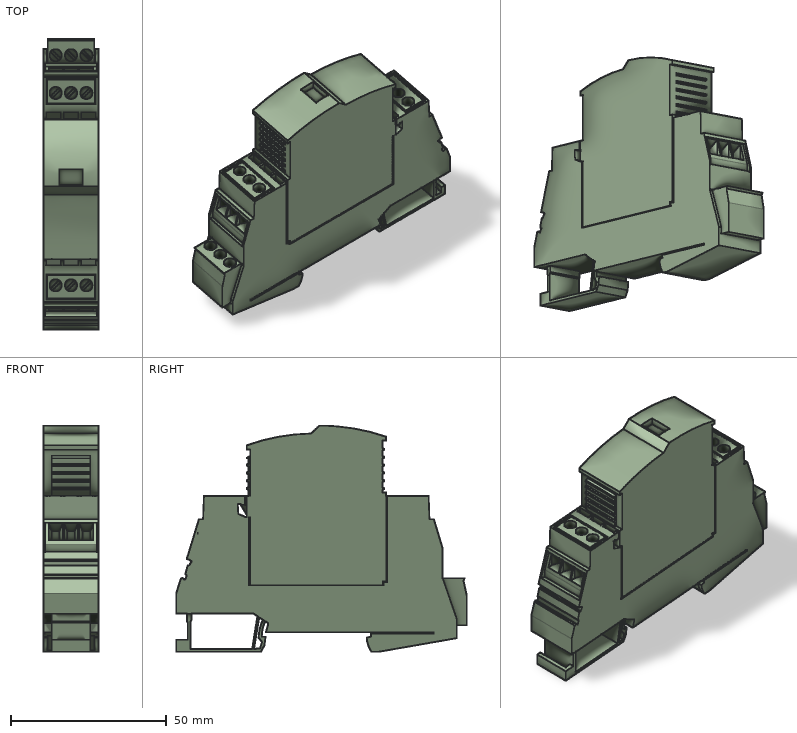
import cadquery as cq

WIDTH = 17.7
CLIP_WIDTH = 12.5
RECESS_WIDTH = 16.6
PITCH = 4.95
POLES = (-PITCH, 0.0, PITCH)
TERMINAL_CENTRE_Y = 45.1

HOUSING_TOP_Z = 50.1
HOUSING_BASE_Z = 6.3
HOUSING_REAR_Y = 85.6
CLIP_ROOF_Z = 12.3

FACE_LOW_Z = 18.9
FACE_TOP_Y = 7.3
FACE_TOP_Z = 42.7
FACE_SLOPE = FACE_TOP_Y / (FACE_TOP_Z - FACE_LOW_Z)

CARTRIDGE_FRONT_Y = 22.6
CARTRIDGE_REAR_Y = 67.4
SIDE_INSET = 1.1
GRIP_FRONT_Y = CARTRIDGE_FRONT_Y + SIDE_INSET
GRIP_REAR_Y = CARTRIDGE_REAR_Y - SIDE_INSET
CARTRIDGE_BASE_Z = 21.4
SHOULDER_Z = 22.7
GRIP_LEDGE_REAR_Z = 51.3
FRONT_EAVE_Z = 65.0
REAR_EAVE_Z = 67.9
STEP_LOW = (43.3, 70.2)
STEP_HIGH = (46.0, 72.7)

RIB_PITCH = 2.5
FRONT_RIBS = 4
REAR_RIBS = 6
RIB_LOWEST_Z = 52.5
RIB_BASE_HEIGHT = 0.8
RIB_TIP_HEIGHT = 0.3
RIB_REACH = 0.6
GRIP_PLATE = 0.6
TOP_RIB_PEAK_Z = 63.0

SEAM_DEPTH = 0.4
SEAM_WIDTH = 0.4
THIN_SEAM = 0.1
FOOT_SEAM_REAR_Y = 82.7
FOOT_NOSE_Y = 62.55

FOOT_POCKET_WIDTH = 14.9
FOOT_POCKET_Y = (60.7, 64.9)
FOOT_POCKET_Z = (0.6, 5.2)

TERMINAL_Y = 14.2
SCREW_RADIUS = 2.0
SCREW_DEPTH = 3.7
SLOT_WIDTH = 0.8
SLOT_DEPTH = 0.5
SLOT_ANGLE = 45
BLOCK_CENTRE_Y = 13.7
BLOCK_LENGTH_X = 16.1
BLOCK_LENGTH_Y = 8.2
RECESS_LOW_Z = 32.1
RECESS_TOP_Z = 41.45
RECESS_DEPTH = 1.0
PLUG_STEP_Z = 34.5
ENTRY_LOW_Z = 35.85
ENTRY_TOP_Z = 41.3
ENTRY_WIDTH = 4.5
ENTRY_NECK_WIDTH = 2.4
ENTRY_NECK_TOP_Z = 38.7
ENTRY_DEPTH = 2.3

LATCH_TOP_Z = 47.2
LATCH_REACH_Y = 20.7
LATCH_GAP_Y = 22.1
LATCH_FLOOR_Z = 43.2
OPENING_PITCH = 5.6
OPENING_WIDTH = 4.8
REAR_OPENING_LENGTH = 2.1
REAR_OPENING_DEPTH = 3.0

CONNECTOR_WIDTH = 15.0
CONNECTOR_POCKET_WIDTH = 15.7
CONNECTOR_INNER_Y = 85.1
CONNECTOR_REAR_Y = 93.4
CONNECTOR_BASE_Z = 8.5
CONNECTOR_TOP_Z = 23.7
CONNECTOR_SCREW_Y = 88.1

WINDOW_WIDTH = 7.7
WINDOW_Y = (46.4, 51.5)
WINDOW_FLOOR_Z = 70.1


def prism(points, width):
    """Closed Y-Z polygon extruded along X, centred on X = 0."""
    return cq.Workplane("YZ").polyline(points).close().extrude(width / 2, both=True)


def block(x_range, y_range, z_range):
    """Box between the given limits."""
    size = [high - low for low, high in (x_range, y_range, z_range)]
    corner = (x_range[0], y_range[0], z_range[0])
    return cq.Workplane("XY").box(*size, centered=False).translate(corner)


def centred_block(width, y_range, z_range):
    return block((-width / 2, width / 2), y_range, z_range)


def rear_copy(shape):
    """Mirror a front terminal feature to the rear end."""
    return shape.mirror("XZ", (0, TERMINAL_CENTRE_Y, 0))


def face_y(z):
    """Y of the sloped front face at height z."""
    return (z - FACE_LOW_Z) * FACE_SLOPE


def housing():
    front_edge = [
        (24.7, CLIP_ROOF_Z), (0, CLIP_ROOF_Z), (0, FACE_LOW_Z), (face_y(23.5), 23.5),
        (2.0, 23.8), (2.8, 23.15), (3.4, 24.6), (2.9, 24.9),
        (3.6, 27.7), (4.2, 27.9), (4.95, 29.1), (3.9, 29.7), (face_y(29.8), 29.8),
        (FACE_TOP_Y, FACE_TOP_Z), (8.6, FACE_TOP_Z), (8.9, HOUSING_TOP_Z),
    ]
    rear_edge = [
        (81.1, HOUSING_TOP_Z), (81.4, FACE_TOP_Z), (82.8, FACE_TOP_Z), (HOUSING_REAR_Y, 33.3),
        (HOUSING_REAR_Y, CONNECTOR_TOP_Z), (90.2, 10.5), (90.2, 4.4),
    ]
    profile = cq.Workplane("YZ").polyline(front_edge + rear_edge + [(65.1, 0), (62.7, 0)])
    profile = profile.threePointArc((61.6, 2.2), (61.15, 4.6)).lineTo(FOOT_NOSE_Y, 4.95)
    profile = profile.lineTo(FOOT_NOSE_Y, HOUSING_BASE_Z).lineTo(28.8, HOUSING_BASE_Z)
    profile = profile.lineTo(29.6, 9.15).close()
    return profile.extrude(WIDTH / 2, both=True)


def cartridge():
    """Upper part of the cartridge, reaching down into the housing."""
    profile = (
        cq.Workplane("YZ")
        .moveTo(CARTRIDGE_FRONT_Y, SHOULDER_Z)
        .lineTo(CARTRIDGE_FRONT_Y, HOUSING_TOP_Z)
        .lineTo(GRIP_FRONT_Y, HOUSING_TOP_Z)
        .lineTo(GRIP_FRONT_Y, FRONT_EAVE_Z)
        .lineTo(CARTRIDGE_FRONT_Y, FRONT_EAVE_Z)
        .lineTo(CARTRIDGE_FRONT_Y, 66.4)
        .threePointArc((33.0, 69.2), STEP_LOW)
        .lineTo(*STEP_HIGH)
        .threePointArc((56.7, 71.9), (CARTRIDGE_REAR_Y, 69.2))
        .lineTo(CARTRIDGE_REAR_Y, REAR_EAVE_Z)
        .lineTo(GRIP_REAR_Y, REAR_EAVE_Z)
        .lineTo(GRIP_REAR_Y, GRIP_LEDGE_REAR_Z)
        .lineTo(CARTRIDGE_REAR_Y, GRIP_LEDGE_REAR_Z)
        .lineTo(CARTRIDGE_REAR_Y, SHOULDER_Z)
        .close()
    )
    window = centred_block(WINDOW_WIDTH, WINDOW_Y, (WINDOW_FLOOR_Z, STEP_HIGH[1]))
    return profile.extrude(WIDTH / 2, both=True).cut(window)


def rib(root_y, z, outward):
    """Trapezoid grip rib; outward is -1 towards the front and +1 towards the rear."""
    tip_y = root_y + outward * RIB_REACH
    half_base = RIB_BASE_HEIGHT / 2
    half_tip = RIB_TIP_HEIGHT / 2
    points = [
        (root_y, z - half_base), (tip_y, z - half_tip), (tip_y, z + half_tip), (root_y, z + half_base),
    ]
    return prism(points, CLIP_WIDTH)


def grips():
    plate_y = GRIP_FRONT_Y - GRIP_PLATE
    top_rib_z = RIB_LOWEST_Z + FRONT_RIBS * RIB_PITCH
    top_rib_base_z = top_rib_z - RIB_TIP_HEIGHT
    shape = centred_block(CLIP_WIDTH, (plate_y, GRIP_FRONT_Y), (HOUSING_TOP_Z, top_rib_base_z))
    for index in range(FRONT_RIBS):
        shape = shape.union(rib(plate_y, RIB_LOWEST_Z + index * RIB_PITCH, -1))
    top_rib = [
        (GRIP_FRONT_Y, TOP_RIB_PEAK_Z), (plate_y - RIB_REACH, top_rib_base_z),
        (GRIP_FRONT_Y, top_rib_base_z),
    ]
    shape = shape.union(prism(top_rib, CLIP_WIDTH))
    for index in range(REAR_RIBS):
        shape = shape.union(rib(GRIP_REAR_Y, RIB_LOWEST_Z + index * RIB_PITCH, 1))
    return shape


def seams():
    """Shallow grooves in both side faces around the cartridge and above the foot."""
    rear_outer = CARTRIDGE_REAR_Y + SEAM_WIDTH
    rear_inner = GRIP_REAR_Y + SEAM_WIDTH
    runs = [
        ((CARTRIDGE_REAR_Y, rear_outer), (SHOULDER_Z, HOUSING_TOP_Z)),
        ((GRIP_REAR_Y, rear_outer), (SHOULDER_Z - SEAM_WIDTH, SHOULDER_Z)),
        ((GRIP_REAR_Y, rear_inner), (CARTRIDGE_BASE_Z, SHOULDER_Z)),
        ((GRIP_FRONT_Y - SEAM_WIDTH, GRIP_FRONT_Y), (CARTRIDGE_BASE_Z, LATCH_FLOOR_Z)),
        ((GRIP_FRONT_Y, GRIP_REAR_Y), (CARTRIDGE_BASE_Z, CARTRIDGE_BASE_Z + THIN_SEAM)),
        ((FOOT_NOSE_Y, FOOT_SEAM_REAR_Y), (HOUSING_BASE_Z - SEAM_WIDTH, HOUSING_BASE_Z)),
    ]
    shape = cq.Workplane("XY")
    for y_range, z_range in runs:
        for inner, outer in ((WIDTH / 2 - SEAM_DEPTH, WIDTH / 2), (-WIDTH / 2, SEAM_DEPTH - WIDTH / 2)):
            shape = shape.add(block((inner, outer), y_range, z_range))
    return shape.combine()


def screw_holes(y, top_z, slot_angle):
    """Three screw wells with a slotted screw head at the bottom of each."""
    centres = [(x, y) for x in POLES]
    floor_z = top_z - SCREW_DEPTH
    wells = cq.Workplane("XY", origin=(0, 0, floor_z)).pushPoints(centres)
    wells = wells.circle(SCREW_RADIUS).extrude(SCREW_DEPTH)
    slot_length = 2 * SCREW_RADIUS
    slots = cq.Workplane("XY", origin=(0, 0, floor_z)).pushPoints(centres)
    slots = slots.slot2D(slot_length, SLOT_WIDTH, slot_angle).extrude(-SLOT_DEPTH)
    return wells.union(slots)


def block_seam():
    """Rectangular groove around the front screw block."""
    frame = cq.Workplane("XY", origin=(0, BLOCK_CENTRE_Y, HOUSING_TOP_Z))
    outer = frame.rect(BLOCK_LENGTH_X, BLOCK_LENGTH_Y).extrude(-SEAM_DEPTH)
    inner = frame.rect(BLOCK_LENGTH_X - 2 * SEAM_WIDTH, BLOCK_LENGTH_Y - 2 * SEAM_WIDTH).extrude(-SEAM_DEPTH)
    return outer.cut(inner)


def wire_entries():
    """Recess in the sloped face with three wire entries that narrow towards the inside."""
    step_y = face_y(PLUG_STEP_Z) + RECESS_DEPTH
    plug_top_y = face_y(RECESS_TOP_Z) + RECESS_DEPTH
    edge_y = face_y(RECESS_LOW_Z)
    floor_inner_z = RECESS_LOW_Z - (step_y - edge_y) * FACE_SLOPE
    recess = [
        (0, RECESS_LOW_Z), (edge_y, RECESS_LOW_Z), (step_y, floor_inner_z), (step_y, PLUG_STEP_Z),
        (plug_top_y, RECESS_TOP_Z), (0, RECESS_TOP_Z),
    ]
    shape = prism(recess, RECESS_WIDTH)
    entry_height = ENTRY_TOP_Z - ENTRY_LOW_Z
    neck_height = ENTRY_NECK_TOP_Z - ENTRY_LOW_Z
    for x in POLES:
        straight = centred_block(ENTRY_WIDTH, (step_y, plug_top_y), (ENTRY_LOW_Z, ENTRY_TOP_Z))
        straight = straight.translate((x, 0, 0))
        funnel = (
            cq.Workplane("XZ", origin=(x, plug_top_y, ENTRY_LOW_Z + entry_height / 2))
            .rect(ENTRY_WIDTH, entry_height)
            .workplane(offset=-ENTRY_DEPTH)
            .center(0, (neck_height - entry_height) / 2)
            .rect(ENTRY_NECK_WIDTH, neck_height)
            .loft()
        )
        shape = shape.union(straight).union(funnel)
    return shape


def latch_opening():
    """Gap and cavity across the full width between housing and cartridge."""
    cavity = [
        (CARTRIDGE_FRONT_Y, HOUSING_TOP_Z), (LATCH_GAP_Y, HOUSING_TOP_Z), (LATCH_GAP_Y, LATCH_TOP_Z),
        (LATCH_REACH_Y, LATCH_TOP_Z), (LATCH_REACH_Y, 47.5), (19.8, 47.5), (20.0, 44.3),
        (CARTRIDGE_FRONT_Y, LATCH_FLOOR_Z),
    ]
    return prism(cavity, WIDTH)


def latch_webs():
    """Two triangular webs on the cartridge, under the bars between the front openings."""
    profile = [
        (CARTRIDGE_FRONT_Y, LATCH_TOP_Z), (LATCH_REACH_Y, LATCH_TOP_Z), (CARTRIDGE_FRONT_Y, 44.1),
    ]
    web = prism(profile, OPENING_PITCH - OPENING_WIDTH)
    return web.translate((-OPENING_PITCH / 2, 0, 0)).add(web.translate((OPENING_PITCH / 2, 0, 0))).combine()


def top_openings():
    front_y = (LATCH_REACH_Y, CARTRIDGE_FRONT_Y)
    rear_start = CARTRIDGE_REAR_Y + SEAM_WIDTH
    rear_y = (rear_start, rear_start + REAR_OPENING_LENGTH)
    shape = cq.Workplane("XY")
    for index in (-1, 0, 1):
        shift = (index * OPENING_PITCH, 0, 0)
        front = centred_block(OPENING_WIDTH, front_y, (LATCH_TOP_Z, HOUSING_TOP_Z))
        rear = centred_block(OPENING_WIDTH, rear_y, (HOUSING_TOP_Z - REAR_OPENING_DEPTH, HOUSING_TOP_Z))
        shape = shape.add(front.translate(shift)).add(rear.translate(shift))
    return shape.combine()


def connector_pocket():
    y_range = (CONNECTOR_INNER_Y, CONNECTOR_REAR_Y)
    return centred_block(CONNECTOR_POCKET_WIDTH, y_range, (CONNECTOR_BASE_Z, CONNECTOR_TOP_Z))


def connector():
    profile = [
        (CONNECTOR_INNER_Y, CONNECTOR_BASE_Z), (CONNECTOR_REAR_Y, CONNECTOR_BASE_Z),
        (CONNECTOR_REAR_Y, 18.2), (92.3, 22.9), (92.7, CONNECTOR_TOP_Z), (CONNECTOR_INNER_Y, CONNECTOR_TOP_Z),
    ]
    holes = screw_holes(CONNECTOR_SCREW_Y, CONNECTOR_TOP_Z, -SLOT_ANGLE)
    return prism(profile, CONNECTOR_WIDTH).cut(holes)


def rail_clip():
    """Base strip with a front lip, a post and a sprung hook behind it."""
    base_top = 0.9
    post = [
        (4.7, 0), (4.7, 9.8), (4.95, 10.3), (4.95, CLIP_ROOF_Z),
        (3.5, CLIP_ROOF_Z), (3.5, 9.8), (3.6, 9.3), (3.6, 0),
    ]
    brace = [(25.0, base_top), (26.7, 11.0), (26.05, 11.5), (24.4, base_top)]
    shape = centred_block(CLIP_WIDTH, (0, 27.3), (0, base_top))
    shape = shape.union(prism(post, CLIP_WIDTH)).union(prism(brace, CLIP_WIDTH))
    spring = (
        cq.Workplane("YZ")
        .moveTo(28.7, 9.8)
        .threePointArc((27.8, 7.5), (27.5, 4.95))
        .lineTo(28.8, 4.9)
        .lineTo(28.4, 2.15)
        .lineTo(27.3, 0)
        .lineTo(25.7, 0)
        .lineTo(25.7, 1.1)
        .lineTo(26.9, 1.1)
        .lineTo(27.5, 3.2)
        .lineTo(26.4, 4.6)
        .threePointArc((26.9, 7.75), (27.8, 10.4))
        .close()
        .extrude(CLIP_WIDTH / 2, both=True)
    )
    return shape.union(spring).union(clip_lip())


def clip_lip():
    """Upright lip joined to the post by a web at its +X end."""
    lip_depth = 1.5
    lip_height = 3.9
    floor_z = 1.7
    post_y = 3.6
    web = 1.5
    lip = centred_block(CLIP_WIDTH, (0, lip_depth), (0, lip_height))
    floor = centred_block(CLIP_WIDTH, (lip_depth, post_y), (0, floor_z))
    end = block((CLIP_WIDTH / 2 - web, CLIP_WIDTH / 2), (lip_depth, post_y), (0, lip_height))
    return lip.union(floor).union(end)


def foot_pocket():
    """Hollow in the front end of the rear foot."""
    return centred_block(FOOT_POCKET_WIDTH, FOOT_POCKET_Y, FOOT_POCKET_Z)


result = housing().cut(latch_opening()).cut(connector_pocket()).cut(foot_pocket())
result = result.union(cartridge()).union(grips()).union(connector()).union(rail_clip())
result = result.cut(top_openings()).union(latch_webs()).cut(seams())

for feature in (block_seam(), wire_entries()):
    result = result.cut(feature).cut(rear_copy(feature))
for screw_y in (TERMINAL_Y, 2 * TERMINAL_CENTRE_Y - TERMINAL_Y):
    result = result.cut(screw_holes(screw_y, HOUSING_TOP_Z, SLOT_ANGLE))